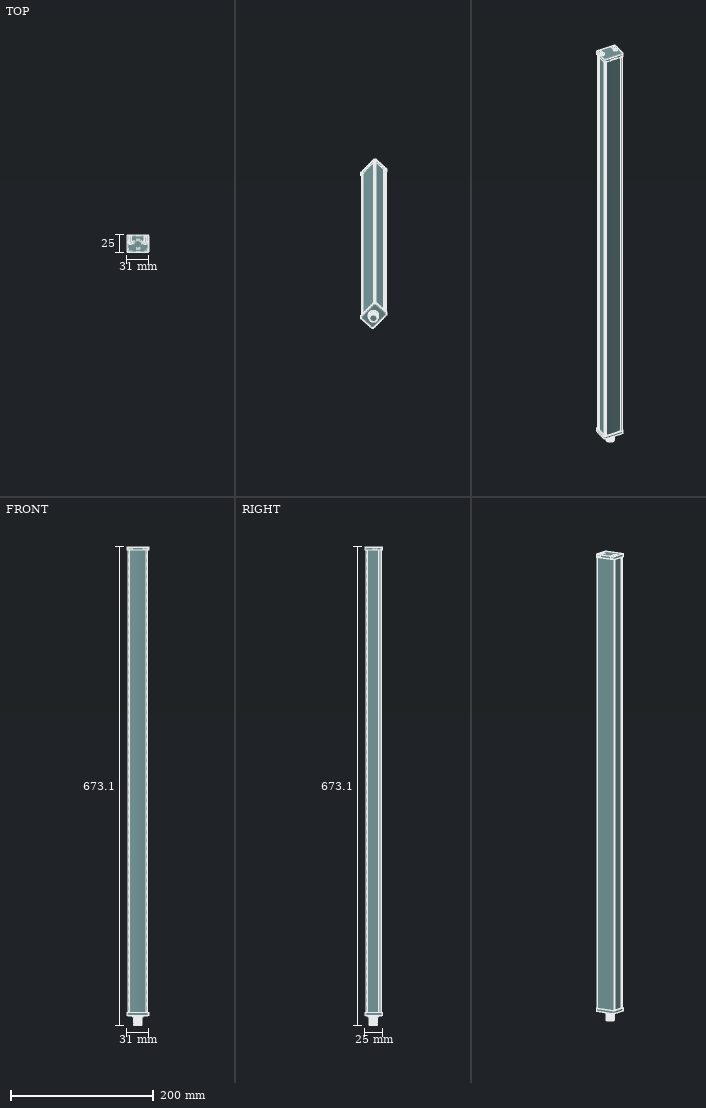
import cadquery as cq

CAP_WIDTH = 31.0
CAP_DEPTH = 25.0
TOTAL_LENGTH = 673.1

CAP_THICKNESS = 4.5
CAP_CORNER_RADIUS = 2.0
CAP_RIM_DROP = 0.3
CAP_RIM_INSET = 1.5

CAP_OVERHANG = 1.5
BODY_WIDTH = CAP_WIDTH - 2 * CAP_OVERHANG
BODY_DEPTH = CAP_DEPTH - 2 * CAP_OVERHANG
FRAME_BORDER = 2.5
LEDGE_WIDTH = 1.75
LEDGE_RECESS = 0.4
PANEL_RECESS = 0.8
WINDOW_BULGE = 1.0
CUT_MARGIN = 0.5

COLLAR_DIAMETER = 15.0
COLLAR_LENGTH = 2.0
THREAD_DIAMETER = 12.0
THREAD_PITCH = 1.5
THREAD_DEPTH = 0.75
THREAD_RINGS = 7
CONNECTOR_LENGTH = 13.5
CONNECTOR_Y = -0.8

SCREW_SPACING = 21.0
SCREW_Y = 2.0
SCREW_HEAD_DIAMETER = 6.0
SLOT_WIDTH = 4.0
INNER_SLOT_WIDTH = 2.0
INNER_SLOT_DEPTH = 3.5
SLOT_REAR_WALL = 1.5
SCREW_RECESS_DEPTH = 3.0

TOP_Z = TOTAL_LENGTH / 2
CONNECTOR_TIP_Z = -TOTAL_LENGTH / 2
LOWER_CAP_Z = CONNECTOR_TIP_Z + CONNECTOR_LENGTH
UPPER_CAP_Z = TOP_Z - CAP_THICKNESS


def end_cap(bottom_z, outer_face):
    """Plate with rounded corners and a shallow bevel around its outward-facing rim."""
    plate = cq.Workplane("XY").workplane(offset=bottom_z).rect(CAP_WIDTH, CAP_DEPTH).extrude(CAP_THICKNESS)
    plate = plate.edges("|Z").fillet(CAP_CORNER_RADIUS)
    return plate.faces(outer_face).edges().chamfer(CAP_RIM_DROP, CAP_RIM_INSET)


def side_recess(base, rear_border, recess, length):
    """Matching shallow recesses in both flanks, set in from the rear by rear_border."""
    depth = BODY_DEPTH - FRAME_BORDER - rear_border
    centre_y = (FRAME_BORDER - rear_border) / 2
    flanks = [(-BODY_WIDTH / 2, centre_y), (BODY_WIDTH / 2, centre_y)]
    return base.pushPoints(flanks).rect(2 * recess, depth).extrude(length)


def housing():
    """Long bar with stepped side recesses and a recessed, convex front window."""
    bar_length = UPPER_CAP_Z - LOWER_CAP_Z
    base = cq.Workplane("XY").workplane(offset=LOWER_CAP_Z)
    bar = base.rect(BODY_WIDTH, BODY_DEPTH).extrude(bar_length)

    outer_recess = side_recess(base, FRAME_BORDER, LEDGE_RECESS, bar_length)
    inner_recess = side_recess(base, FRAME_BORDER + LEDGE_WIDTH, PANEL_RECESS, bar_length)

    window_half_width = BODY_WIDTH / 2 - FRAME_BORDER
    front_y = -BODY_DEPTH / 2
    window_edge_y = front_y + WINDOW_BULGE
    window_gap = (
        base.moveTo(-window_half_width, front_y)
        .lineTo(-window_half_width, window_edge_y)
        .threePointArc((0, front_y), (window_half_width, window_edge_y))
        .lineTo(window_half_width, front_y)
        .lineTo(window_half_width, front_y - CUT_MARGIN)
        .lineTo(-window_half_width, front_y - CUT_MARGIN)
        .close()
        .extrude(bar_length)
    )
    return bar.cut(outer_recess).cut(inner_recess).cut(window_gap)


def connector():
    """Collar and threaded stub hanging from the lower cap, the thread as plain V rings."""
    crest = THREAD_DIAMETER / 2
    root = crest - THREAD_DEPTH
    outline = cq.Workplane("XZ").moveTo(0, CONNECTOR_TIP_Z).lineTo(root, CONNECTOR_TIP_Z)
    for ring in range(THREAD_RINGS):
        ring_z = CONNECTOR_TIP_Z + ring * THREAD_PITCH
        outline = outline.lineTo(crest, ring_z + THREAD_PITCH / 2).lineTo(root, ring_z + THREAD_PITCH)
    collar_z = LOWER_CAP_Z - COLLAR_LENGTH
    stub = (
        outline.lineTo(root, collar_z)
        .lineTo(COLLAR_DIAMETER / 2, collar_z)
        .lineTo(COLLAR_DIAMETER / 2, LOWER_CAP_Z)
        .lineTo(0, LOWER_CAP_Z)
        .close()
        .revolve(360, (0, 0, 0), (0, 1, 0))
    )
    return stub.translate((0, CONNECTOR_Y, 0))


def round_slot(x, width, depth):
    """Round-ended slot sunk into the upper cap and running back to its rear wall."""
    floor = cq.Workplane("XY").workplane(offset=TOP_Z - depth)
    length = CAP_DEPTH / 2 - SLOT_REAR_WALL - SCREW_Y
    channel = floor.center(x, SCREW_Y + length / 2).rect(width, length).extrude(depth)
    return channel.union(floor.center(x, SCREW_Y).circle(width / 2).extrude(depth))


def screw_recess(x):
    """Keyhole recess with a narrower, deeper slot along its floor."""
    floor = cq.Workplane("XY").workplane(offset=TOP_Z - SCREW_RECESS_DEPTH)
    head = floor.center(x, SCREW_Y).circle(SCREW_HEAD_DIAMETER / 2).extrude(SCREW_RECESS_DEPTH)
    outer_slot = round_slot(x, SLOT_WIDTH, SCREW_RECESS_DEPTH)
    inner_slot = round_slot(x, INNER_SLOT_WIDTH, INNER_SLOT_DEPTH)
    return head.union(outer_slot).union(inner_slot)


result = (
    housing()
    .union(end_cap(LOWER_CAP_Z, "<Z"))
    .union(end_cap(UPPER_CAP_Z, ">Z"))
    .union(connector())
    .cut(screw_recess(-SCREW_SPACING / 2))
    .cut(screw_recess(SCREW_SPACING / 2))
)